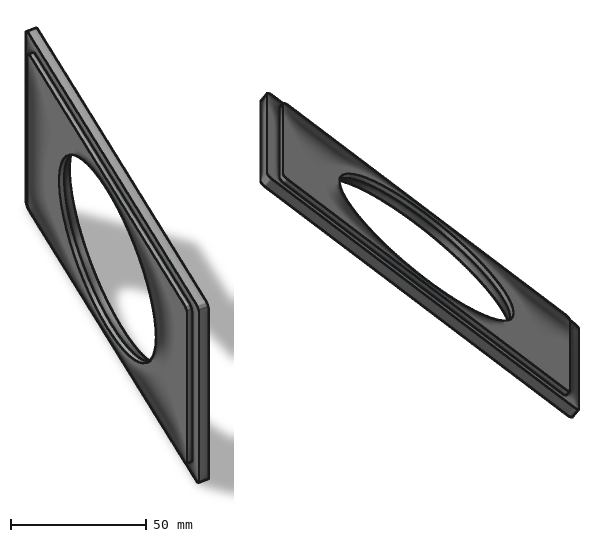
import cadquery as cq

plate_length = 147.0
plate_height = 105.0
plate_thickness = 4.0
corner_radius = 2.6

panel_margin = 5.9
panel_thickness = 2.0
panel_length = plate_length - 2 * panel_margin
panel_height = plate_height - 2 * panel_margin

opening_diameter = 82.0
rear_bore_diameter = 88.5
rear_bore_depth = plate_thickness

total_thickness = plate_thickness + panel_thickness
back_y = total_thickness / 2
step_y = back_y - plate_thickness


def workplane_at(y):
    """Plane parallel to XZ at the given Y, extruding toward -Y."""
    return cq.Workplane("XZ", origin=(0, y, 0))


def rounded_slab(length, height, thickness, y):
    slab = workplane_at(y).rect(length, height).extrude(thickness)
    return slab.edges("|Y").fillet(corner_radius)


def round_cutter(diameter, depth):
    return workplane_at(back_y).circle(diameter / 2).extrude(depth)


plate = rounded_slab(plate_length, plate_height, plate_thickness, back_y)
panel = rounded_slab(panel_length, panel_height, panel_thickness, step_y)

result = (
    plate.union(panel)
    .cut(round_cutter(opening_diameter, total_thickness))
    .cut(round_cutter(rear_bore_diameter, rear_bore_depth))
)